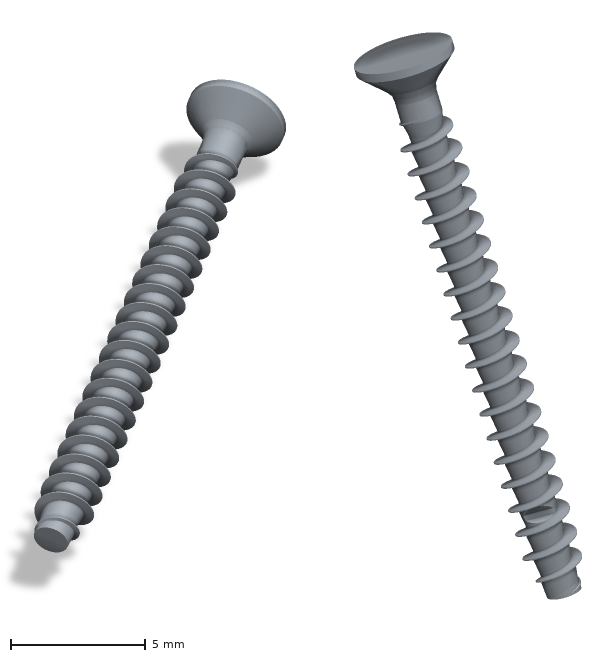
import cadquery as cq
import math

length = 22.0

head_diameter = 3.8
head_radius = head_diameter / 2
rim_depth = 0.33

collar_radius = 0.81
collar_end = 2.53
lead_cone_end = 3.2
neck_fillet = 0.75
countersink_end = rim_depth + head_radius - collar_radius

core_radius = 0.65
ramp_radius = 0.77
ramp_length = 0.75

crest_radius = 1.12
crest_width = 0.05
root_width = 0.25
full_thread_start = 3.39
full_thread_end = 20.55
full_turns = 17.5
pitch = (full_thread_end - full_thread_start) / full_turns
start_angle = -90.0
head_runout_turns = 1
tip_runout_turns = 1.5
head_end_crest_radius = collar_radius
tip_end_crest_radius = 0.64

buried_radius = 0.55
segments_per_turn = 4
steps_per_segment = 3

nick_floor = 0.4
nick_floor_start = 18.57
nick_floor_end = 18.79
nick_mouth = 0.75
nick_mouth_start = 18.24
nick_mouth_end = 18.95


def make_shank():
    """Revolved head, neck, collar, lead cone and core."""
    shank = (
        cq.Workplane("XY")
        .moveTo(0, 0)
        .lineTo(head_radius, 0)
        .lineTo(head_radius, -rim_depth)
        .lineTo(collar_radius, -countersink_end)
        .lineTo(collar_radius, -collar_end)
        .lineTo(core_radius, -lead_cone_end)
        .lineTo(core_radius, -length)
        .lineTo(0, -length)
        .close()
        .revolve(360, (0, 0, 0), (0, 1, 0))
    )
    neck = cq.selectors.NearestToPointSelector((0, -countersink_end, 0))
    return shank.edges("%CIRCLE").edges(neck).fillet(neck_fillet)


def make_nick():
    """Bar with sloping sides that crosses the underside of the core."""
    return (
        cq.Workplane("YZ")
        .polyline([
            (-nick_floor_start, -nick_floor),
            (-nick_floor_end, -nick_floor),
            (-nick_mouth_end, -nick_mouth),
            (-nick_mouth_start, -nick_mouth),
        ])
        .close()
        .extrude(nick_mouth, both=True)
    )


def crest_radius_at(turn):
    """Crest radius, tapering over the run-out at each end of the thread."""
    if turn < 0:
        part_way = -turn / head_runout_turns
        return crest_radius + (head_end_crest_radius - crest_radius) * part_way
    if turn > full_turns:
        part_way = (turn - full_turns) / tip_runout_turns
        return crest_radius + (tip_end_crest_radius - crest_radius) * part_way
    return crest_radius


def thread_section(turn):
    """Corners of the thread as (radius, depth from the thread's centre line)."""
    flank_slope = (root_width - crest_width) / 2 / (crest_radius - core_radius)
    buried_half = root_width / 2 + flank_slope * (core_radius - buried_radius)
    crest = crest_radius_at(turn)
    return [
        (buried_radius, -buried_half),
        (crest, -crest_width / 2),
        (crest, crest_width / 2),
        (buried_radius, buried_half),
    ]


def ramp_section(turn):
    """Corners of the ramp as (radius, depth from the thread's centre line), fading with the thread."""
    fullness = (crest_radius_at(turn) - core_radius) / (crest_radius - core_radius)
    ramp_top = core_radius + (ramp_radius - core_radius) * fullness
    return [
        (buried_radius, 0),
        (ramp_top, 0),
        (core_radius, ramp_length),
        (buried_radius, ramp_length),
    ]


def helix_points(section, turn):
    """Corners of a section placed on the helix, in turns from the start of the full thread."""
    angle = math.radians(start_angle) + 2 * math.pi * turn
    centre = full_thread_start + pitch * turn
    return [
        cq.Vector(radius * math.cos(angle), -(centre + offset), radius * math.sin(angle))
        for radius, offset in section(turn)
    ]


def make_helix(section):
    """Solid of helical strips between the section corners, capped at both ends."""
    first_turn = -head_runout_turns
    last_turn = full_turns + tip_runout_turns
    segments = round((last_turn - first_turn) * segments_per_turn)
    faces = []
    for segment in range(segments):
        turns = [
            first_turn + (segment + k / steps_per_segment) / segments_per_turn
            for k in range(steps_per_segment + 1)
        ]
        rails = zip(*[helix_points(section, turn) for turn in turns])
        edges = [cq.Edge.makeSpline(list(rail)) for rail in rails]
        for k, edge in enumerate(edges):
            faces.append(cq.Face.makeRuledSurface(edges[k - 1], edge))
    for turn in (first_turn, last_turn):
        outline = cq.Wire.makePolygon(helix_points(section, turn), close=True)
        faces.append(cq.Face.makeFromWires(outline))
    return cq.Workplane(cq.Solid.makeSolid(cq.Shell.makeShell(faces)))


def make_tip_trim():
    """Block past the tip face that trims the end of the thread run-out and ramp."""
    return cq.Workplane("XZ", origin=(0, -length, 0)).circle(head_radius).extrude(2 * pitch)


core = make_shank().union(make_helix(ramp_section)).cut(make_nick())
result = core.union(make_helix(thread_section)).cut(make_tip_trim())